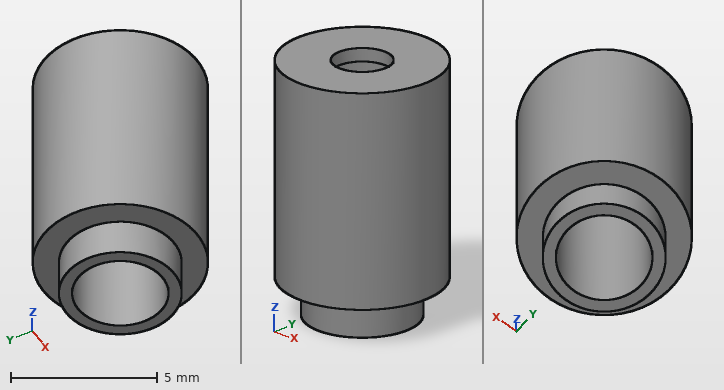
import cadquery as cq

total_height = 9.4
body_diameter = 6.0
body_height = 8.0
spigot_diameter = 4.2
spigot_height = total_height - body_height

opening_diameter = 2.15
bore_diameter = 3.3
top_wall = 0.5
bore_depth = total_height - top_wall


def cylinder(diameter, height, base_z):
    """Upright cylinder on the Z axis, starting at base_z."""
    return cq.Workplane("XY").workplane(offset=base_z).circle(diameter / 2).extrude(height)


spigot = cylinder(spigot_diameter, spigot_height, 0)
body = cylinder(body_diameter, body_height, spigot_height)

bore = cylinder(bore_diameter, bore_depth, 0)
opening = cylinder(opening_diameter, top_wall, bore_depth)

result = body.union(spigot).cut(bore).cut(opening)